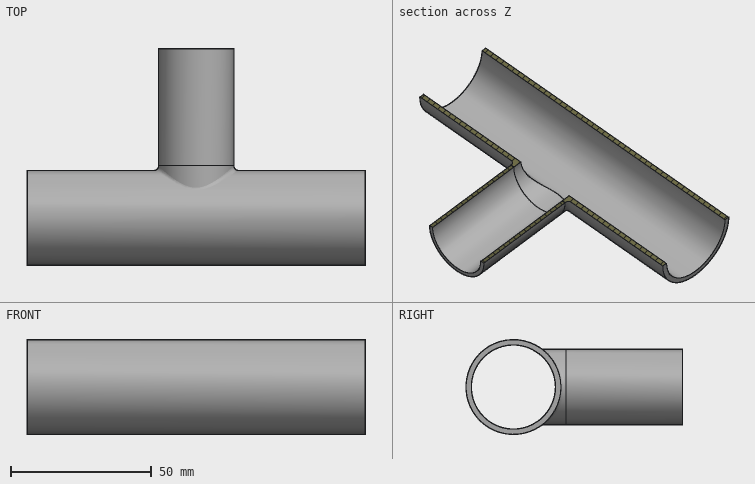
import cadquery as cq

run_length = 120.0
run_outer_diameter = 33.7
run_bore_diameter = 29.8

branch_outer_diameter = 26.9
branch_bore_diameter = 23.8
branch_end_y = 60.0
joint_y = 18.6
weld_fillet_radius = 1.5


def cylinder_along_x(diameter):
    """Solid cylinder over the full length of the run."""
    return cq.Workplane("YZ").circle(diameter / 2).extrude(run_length / 2, both=True)


def cylinder_along_y(diameter, start_y, end_y):
    """Solid cylinder on the branch axis between two Y positions."""
    plane = cq.Plane(origin=(0, start_y, 0), xDir=(0, 0, -1), normal=(0, 1, 0))
    return cq.Workplane(plane).circle(diameter / 2).extrude(end_y - start_y)


def make_tee():
    """Run pipe with a short collar, filleted where the collar leaves the run."""
    run = cylinder_along_x(run_outer_diameter)
    collar = cylinder_along_y(branch_outer_diameter, 0, joint_y)
    tee = run.union(collar)

    tee = tee.edges("not(%CIRCLE or %LINE)").fillet(weld_fillet_radius)

    tee = tee.cut(cylinder_along_x(run_bore_diameter))
    return tee.cut(cylinder_along_y(branch_bore_diameter, 0, joint_y))


def make_branch_pipe():
    """Straight pipe that continues the collar of the tee."""
    pipe = cylinder_along_y(branch_outer_diameter, joint_y, branch_end_y)
    return pipe.cut(cylinder_along_y(branch_bore_diameter, joint_y, branch_end_y))


tee = make_tee()
branch_pipe = make_branch_pipe()

result = cq.Compound.makeCompound([tee.solids().val(), branch_pipe.solids().val()])